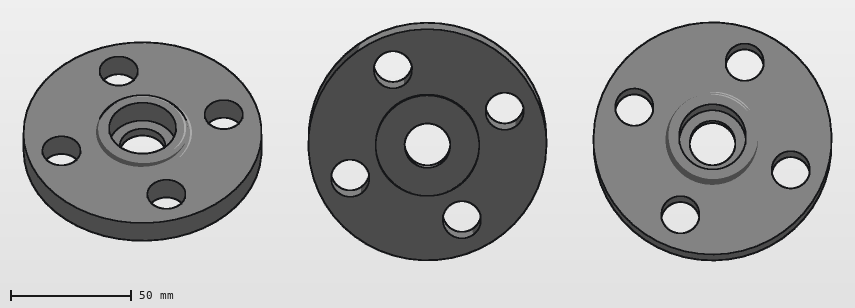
import cadquery as cq

flange_diameter = 98.5
flange_thickness = 11.3

face_diameter = 42.9
face_height = 1.6

hub_base_diameter = 38.4
hub_height = 2.9
hub_draft_angle = 15.0
hub_round = 1.6

socket_diameter = 27.7
socket_depth = 11.3
bore_diameter = 18.8

bolt_count = 4
bolt_circle_diameter = 69.9
bolt_hole_diameter = 15.8

flange_bottom = face_height
flange_top = flange_bottom + flange_thickness
hub_top = flange_top + hub_height


def disc(diameter, bottom, top):
    """Upright cylinder on the Z axis between two levels."""
    return cq.Workplane("XY").workplane(offset=bottom).circle(diameter / 2).extrude(top - bottom)


def add_hub(plate):
    """Add the tapered hub, flared into the plate and rounded at its top edge by the same radius."""
    hub = (
        cq.Workplane("XY")
        .workplane(offset=flange_top)
        .circle(hub_base_diameter / 2)
        .extrude(hub_height, taper=hub_draft_angle)
    )
    foot_edge = cq.selectors.RadiusNthSelector(-2)
    hubbed_plate = plate.union(hub)
    hubbed_plate = hubbed_plate.faces(">Z[-2]").edges(foot_edge).fillet(hub_round)
    return hubbed_plate.faces(">Z").edges().fillet(hub_round)


def bolt_holes():
    """Cutters for the bolt holes, evenly spaced and starting on the X axis."""
    return (
        cq.Workplane("XY")
        .workplane(offset=flange_bottom)
        .polarArray(bolt_circle_diameter / 2, 0, 360, bolt_count)
        .circle(bolt_hole_diameter / 2)
        .extrude(flange_thickness)
    )


body = add_hub(disc(flange_diameter, flange_bottom, flange_top))
body = body.union(disc(face_diameter, 0, flange_bottom))

socket = disc(socket_diameter, hub_top - socket_depth, hub_top)
bore = disc(bore_diameter, 0, hub_top)

result = body.cut(bolt_holes()).cut(socket).cut(bore)